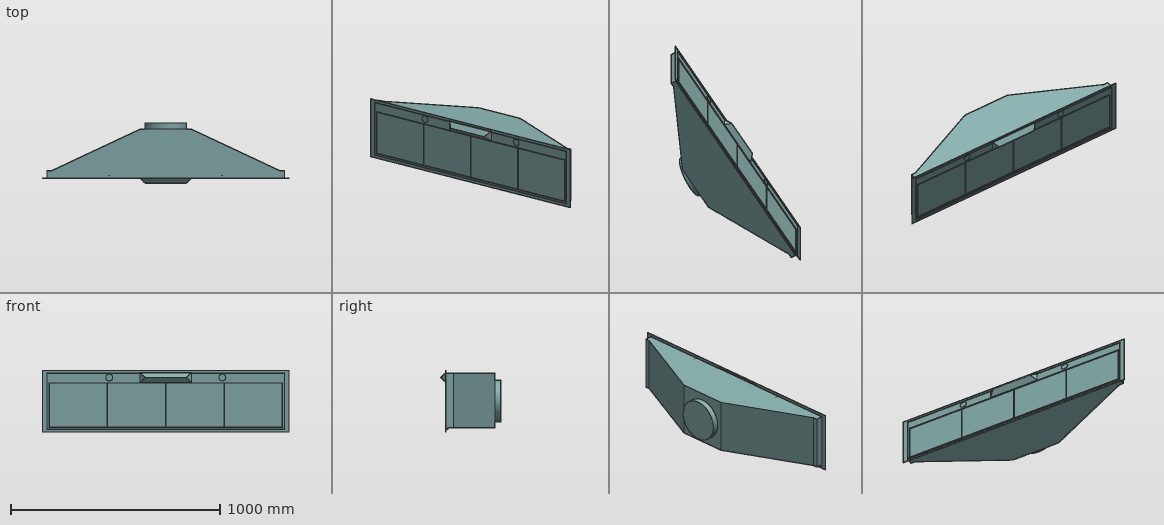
import cadquery as cq

frame_width = 1180.0
frame_height = 295.0
frame_thickness = 2.0
opening_width = 1133.0
opening_top = 133.0
opening_bottom = -133.0

casing_depth = 236.0
casing_width = 1135.0
casing_top = 135.0
casing_bottom = -127.0
lip_bottom = -135.0
box_depth = 38.0
lip_depth = 12.0
taper_front_width = 1090.0
taper_back_width = 245.0
collar_radius = 100.0
collar_length = 30.0

panel_count = 4
panel_pitch = 278.0
panel_top = 87.0
panel_bottom = -125.0
groove_width = 2.0
edge_groove_height = 1.0
groove_depth = 4.0

lamp_radius = 17.0
lamp_depth = 12.0
lamp_offset = 270.0
lamp_height = 113.0

control_length = 248.0
control_half_height = 25.0
control_height = 113.0
control_projection = 24.0
ridge_length = 196.0


def block(width, bottom, top, front, back):
    """Box centred on X, given its Z and Y limits."""
    return (
        cq.Workplane("XY", origin=(0, front, bottom))
        .box(width, back - front, top - bottom, centered=(True, False, False))
    )


def make_frame():
    outer = block(frame_width, -frame_height / 2, frame_height / 2, 0, frame_thickness)
    opening = block(opening_width, opening_bottom, opening_top, 0, frame_thickness)
    return outer.cut(opening)


def make_casing():
    front_plate = block(casing_width, lip_bottom, casing_top, frame_thickness, lip_depth)
    end_box = block(casing_width, casing_bottom, casing_top, frame_thickness, box_depth)
    taper = (
        cq.Workplane("XY", origin=(0, 0, casing_bottom))
        .moveTo(-taper_front_width / 2, box_depth)
        .lineTo(taper_front_width / 2, box_depth)
        .lineTo(taper_back_width / 2, casing_depth)
        .lineTo(-taper_back_width / 2, casing_depth)
        .close()
        .extrude(casing_top - casing_bottom)
    )
    collar = (
        cq.Workplane("XZ", origin=(0, casing_depth, 0))
        .circle(collar_radius)
        .extrude(-collar_length)
    )
    return front_plate.union(end_box).union(taper).union(collar)


def make_panel_grooves():
    """Continuous groove around the panel field and between neighbouring panels."""
    groove_back = frame_thickness + groove_depth
    field_width = panel_count * panel_pitch + groove_width
    grooves = block(field_width, panel_bottom, panel_top, frame_thickness, groove_back)
    panel = block(
        panel_pitch - groove_width,
        panel_bottom + edge_groove_height,
        panel_top - edge_groove_height,
        frame_thickness,
        groove_back,
    )
    for index in range(panel_count):
        panel_x = (index - (panel_count - 1) / 2) * panel_pitch
        grooves = grooves.cut(panel.translate((panel_x, 0, 0)))
    return grooves


def make_control_notch():
    """Clearance in the frame where the base of the control housing meets the front plate."""
    bottom = control_height - control_half_height
    top = control_height + control_half_height
    return block(control_length, bottom, top, 0, frame_thickness)


def make_control():
    """Hipped block on the front plate: a wedge along X whose two ends slope in to the ridge."""
    wedge = (
        cq.Workplane("YZ")
        .moveTo(frame_thickness, control_height - control_half_height)
        .lineTo(-control_projection, control_height)
        .lineTo(frame_thickness, control_height + control_half_height)
        .close()
        .extrude(control_length / 2, both=True)
    )
    end_slopes = (
        cq.Workplane("XY")
        .moveTo(-control_length / 2, frame_thickness)
        .lineTo(-ridge_length / 2, -control_projection)
        .lineTo(ridge_length / 2, -control_projection)
        .lineTo(control_length / 2, frame_thickness)
        .close()
        .extrude(frame_height)
    )
    return wedge.intersect(end_slopes)


def make_lamp(lamp_x):
    return (
        cq.Workplane("XZ", origin=(lamp_x, frame_thickness, lamp_height))
        .circle(lamp_radius)
        .extrude(-lamp_depth)
    )


lamps = [make_lamp(side * lamp_offset) for side in (-1, 1)]

frame = make_frame().cut(make_control_notch())
hood = frame.union(make_casing()).cut(make_panel_grooves()).union(make_control())
for lamp in lamps:
    hood = hood.cut(lamp)

result = cq.Compound.makeCompound([hood.solids().val(), *[lamp.val() for lamp in lamps]])